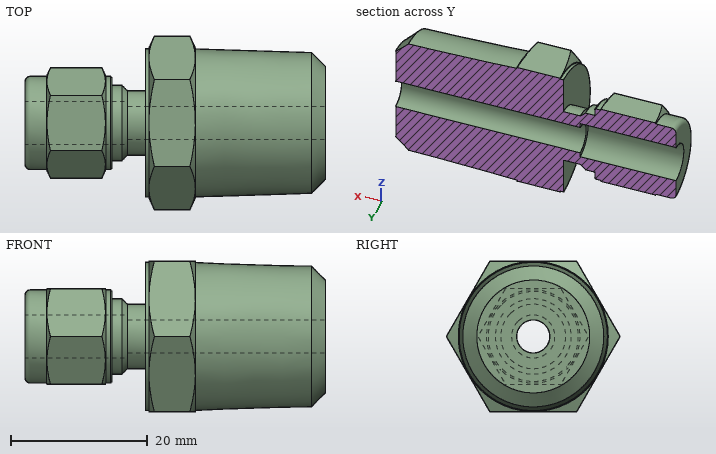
import cadquery as cq
import math


nut_hex_start = 3.14
nut_hex_end = 11.82
nut_end = 12.75
shoulder_end = 14.15
neck_start = 14.95
washer_start = 17.6
body_hex_start = 18.1
body_hex_end = 24.9
total_length = 43.91

nut_flats = 14.0
nut_collar_radius = 6.83
nut_front_fillet = 0.8
nut_rear_chamfer = 0.25

shoulder_radius = 5.53
neck_radius = shoulder_radius - (neck_start - shoulder_end)

body_flats = 22.0
washer_radius = 10.85
body_bevel_radius = 10.97
hex_bevel_angle = 25.0

taper_base_radius = 10.83
taper_ratio = 1 / 16
tip_chamfer = 2.05

tube_diameter = 6.3
tube_depth = 15.0
bore_diameter = 4.8


def cylinder(start, end, radius):
    """Round section between two stations on the X axis."""
    return cq.Workplane("YZ", origin=(start, 0, 0)).circle(radius).extrude(end - start)


def revolve_profile(points):
    """Solid of revolution about X from (x, radius) points."""
    return cq.Workplane("XY").polyline(points).close().revolve(360, (0, 0, 0), (1, 0, 0))


def bevelled_hexagon(start, end, flats, bevel_radius):
    """Hexagonal prism with top and bottom flats, its corners bevelled by a cone at each end."""
    corner_radius = flats / math.sqrt(3)
    bevel_length = (corner_radius - bevel_radius) * math.tan(math.radians(hex_bevel_angle))
    prism = (
        cq.Workplane("YZ", origin=(start, 0, 0))
        .polygon(6, 2 * corner_radius)
        .extrude(end - start)
    )
    envelope = revolve_profile([
        (start, 0),
        (start, bevel_radius),
        (start + bevel_length, corner_radius),
        (end - bevel_length, corner_radius),
        (end, bevel_radius),
        (end, 0),
    ])
    return prism.intersect(envelope)


def compression_nut():
    collar = cylinder(0, nut_end, nut_collar_radius)
    collar = collar.faces("<X").edges().fillet(nut_front_fillet)
    collar = collar.faces(">X").edges().chamfer(nut_rear_chamfer)
    return collar.union(bevelled_hexagon(nut_hex_start, nut_hex_end, nut_flats, nut_collar_radius))


def neck():
    return revolve_profile([
        (nut_end, 0),
        (nut_end, shoulder_radius),
        (shoulder_end, shoulder_radius),
        (neck_start, neck_radius),
        (washer_start, neck_radius),
        (washer_start, 0),
    ])


def hexagonal_body():
    washer = cylinder(washer_start, body_hex_start, washer_radius)
    return washer.union(bevelled_hexagon(body_hex_start, body_hex_end, body_flats, body_bevel_radius))


def tapered_end():
    chamfer_start = total_length - tip_chamfer
    taper_end_radius = taper_base_radius - (chamfer_start - body_hex_end) * taper_ratio / 2
    return revolve_profile([
        (body_hex_end, 0),
        (body_hex_end, taper_base_radius),
        (chamfer_start, taper_end_radius),
        (total_length, taper_end_radius - tip_chamfer),
        (total_length, 0),
    ])


fitting = compression_nut().union(neck()).union(hexagonal_body()).union(tapered_end())

tube_socket = cylinder(0, tube_depth, tube_diameter / 2)
through_bore = cylinder(0, total_length, bore_diameter / 2)
result = fitting.cut(tube_socket).cut(through_bore)